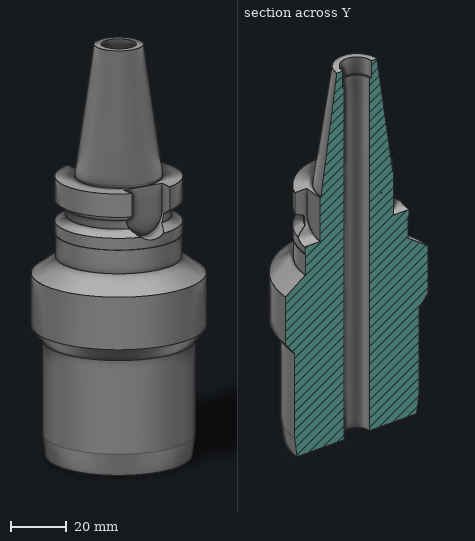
import cadquery as cq

total_height = 153.4
nose_height = 8.3
body_top = 43.3
sleeve_bottom = 48.5
sleeve_top = 68.1
neck_bottom = 74.2
flange_seam = 83.1
flange_top = 104.2
taper_base = 105.0

nose_radius = 26.4
body_radius = 27.5
sleeve_radius = 31.5
flange_radius = 23.0
neck_radius = 22.7
taper_large_radius = 15.8
taper_small_radius = 8.9

groove_radius = 19.2
groove_bevel_height = 2.3
groove_floor_bottom = 89.9
groove_floor_top = 93.1

slot_width = 16.1
slot_bottom = 86.0
slot_floor_distance = 16.3
slot_overrun = 1.5

bore_radius = 5.5
counterbore_radius = 6.3
counterbore_depth = 7.0


def revolved_body():
    """Holder body with its taper, flange, groove and sleeve."""
    profile = [
        (0, 0),
        (nose_radius, 0),
        (body_radius, nose_height),
        (body_radius, body_top),
        (sleeve_radius, sleeve_bottom),
        (sleeve_radius, sleeve_top),
        (neck_radius, neck_bottom),
        (neck_radius, flange_seam),
        (flange_radius, flange_seam),
        (flange_radius, groove_floor_bottom - groove_bevel_height),
        (groove_radius, groove_floor_bottom),
        (groove_radius, groove_floor_top),
        (flange_radius, groove_floor_top + groove_bevel_height),
        (flange_radius, flange_top),
        (taper_large_radius, flange_top),
        (taper_large_radius, taper_base),
        (taper_small_radius, total_height),
        (0, total_height),
    ]
    return cq.Workplane("XZ").polyline(profile).close().revolve(360, (0, 0), (0, 1))


def drive_slot(side):
    """Round-bottomed slot cutter, open at the flange top; side is -1 or +1 along X."""
    half_width = slot_width / 2
    arc_center = slot_bottom + half_width
    return (
        cq.Workplane("YZ", origin=(side * slot_floor_distance, 0, 0))
        .moveTo(-half_width, flange_top)
        .lineTo(-half_width, arc_center)
        .threePointArc((0, slot_bottom), (half_width, arc_center))
        .lineTo(half_width, flange_top)
        .close()
        .extrude(side * (flange_radius - slot_floor_distance + slot_overrun))
    )


def stepped_bore():
    """Through bore with a wider counterbore at the taper tip."""
    bore = cq.Workplane("XY").circle(bore_radius).extrude(total_height)
    counterbore = (
        cq.Workplane("XY", origin=(0, 0, total_height - counterbore_depth))
        .circle(counterbore_radius)
        .extrude(counterbore_depth)
    )
    return bore.union(counterbore)


result = revolved_body().cut(stepped_bore())
for side in (-1, 1):
    result = result.cut(drive_slot(side))